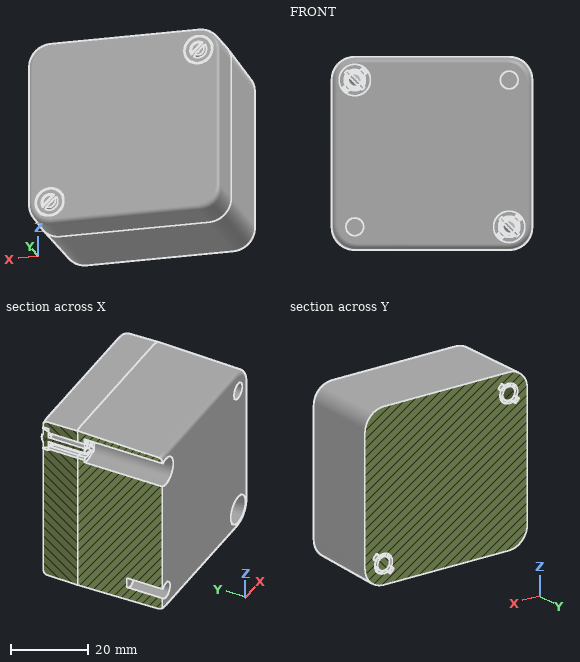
import cadquery as cq
import math

width = 52.0
height = 50.0
overall_depth = 35.5
base_depth = 24.95
lid_depth = 10.05
draft_angle = 0.8
corner_radius = 6.05
rim_radius = 1.25

fixing_x = width / 2 - corner_radius
fixing_z = height / 2 - corner_radius
screw_points = [(-fixing_x, fixing_z), (fixing_x, -fixing_z)]
mounting_points = [(fixing_x, fixing_z), (-fixing_x, -fixing_z)]

mounting_hole_radius = 2.3
mounting_hole_depth = 10.4
base_bore_radius = 4.05
ledge_thickness = 2.1
lid_bore_radius = 3.85
keyhole_radius = 2.75
key_slot_width = 1.55

head_radius = 3.6
head_bottom_radius = 3.15
head_thickness = 1.55
button_height = overall_depth - base_depth - lid_depth
button_bottom_radius = 2.25
button_top_radius = 1.65
drive_slot_width = 0.95
drive_slot_depth = button_height
shank_radius = 2.0
tip_radius = 1.65
blade_width = 0.95
blade_half_length = 3.15
blade_height = tip_radius - blade_width / 2
blade_end_height = 0.6
key_angle = 45.0

ring_radius = 2.4
ring_thickness = 0.8

head_bottom = lid_depth - head_thickness
blade_top = -ledge_thickness
blade_tip = blade_top - blade_height


def plane_at(y):
    """Plane facing +Y with local x along -X and local y along +Z."""
    return cq.Workplane(cq.Plane(origin=(0, y, 0), xDir=(-1, 0, 0), normal=(0, 1, 0)))


def rod(radius, y_start, y_end):
    return plane_at(y_start).circle(radius).extrude(y_end - y_start)


def place(body, point):
    x, z = point
    return body.translate((x, 0, z))


def drafted_block(depth):
    """Block narrowing away from the parting plane, rounded at its corners and outer rim."""
    outward = "<Y" if depth < 0 else ">Y"
    block = cq.Workplane("XZ").rect(width, height).extrude(-depth, taper=draft_angle)
    corners = block.faces("not(<Y or >Y)").edges("not(<Y or >Y)")
    rounded = block.newObject(corners.vals()).fillet(corner_radius)
    return rounded.faces(outward).edges().fillet(rim_radius)


def keyhole(y_start, y_end):
    """Round hole with two opposite key slots that let the screw blade pass."""
    depth = y_end - y_start
    slots = plane_at(y_start).rect(2 * lid_bore_radius, key_slot_width).extrude(depth)
    slots = slots.intersect(rod(lid_bore_radius, y_start, y_end))
    slots = slots.rotate((0, 0, 0), (0, 1, 0), -key_angle)
    return slots.union(rod(keyhole_radius, y_start, y_end))


def make_base():
    base = drafted_block(-base_depth)
    for point in screw_points:
        base = base.cut(place(rod(base_bore_radius, -base_depth, -ledge_thickness), point))
        base = base.cut(place(keyhole(-ledge_thickness, 0), point))
    for point in mounting_points:
        hole = rod(mounting_hole_radius, -base_depth, mounting_hole_depth - base_depth)
        base = base.cut(place(hole, point))
    return base


def make_lid():
    lid = drafted_block(lid_depth)
    for point in screw_points:
        lid = lid.cut(place(keyhole(0, head_bottom), point))
        lid = lid.cut(place(rod(lid_bore_radius, head_bottom, lid_depth), point))
    return lid


def screw_head():
    """Tapered head with a low conical button and a drive slot."""
    top = lid_depth + button_height
    head = (
        cq.Workplane("XY")
        .moveTo(0, head_bottom)
        .lineTo(head_bottom_radius, head_bottom)
        .lineTo(head_radius, lid_depth)
        .lineTo(button_bottom_radius, lid_depth)
        .lineTo(button_top_radius, top)
        .lineTo(0, top)
        .close()
        .revolve(360, (0, 0, 0), (0, 1, 0))
    )
    slot = plane_at(top - drive_slot_depth).rect(2 * button_bottom_radius, drive_slot_width)
    return head.cut(slot.extrude(drive_slot_depth))


def screw_tip():
    """Shank end that sweeps up into the blade in two concave flanks."""
    half_blade = blade_width / 2
    mid = blade_height * (1 - math.sqrt(0.5))
    tip = (
        cq.Workplane("ZY")
        .moveTo(-tip_radius, blade_top)
        .threePointArc((-half_blade - mid, blade_top - mid), (-half_blade, blade_tip))
        .lineTo(half_blade, blade_tip)
        .threePointArc((half_blade + mid, blade_top - mid), (tip_radius, blade_top))
        .close()
        .extrude(tip_radius, both=True)
    )
    return tip.intersect(rod(tip_radius, blade_tip, blade_top))


def screw_blade():
    """Arched cross blade that bears on the ledge of the base."""
    blade_end = blade_top - blade_end_height
    return (
        cq.Workplane("XY")
        .moveTo(-blade_half_length, blade_top)
        .lineTo(-blade_half_length, blade_end)
        .threePointArc((0, blade_tip), (blade_half_length, blade_end))
        .lineTo(blade_half_length, blade_top)
        .close()
        .extrude(blade_width / 2, both=True)
    )


def make_screw():
    shank = rod(shank_radius, blade_top, head_bottom)
    screw = shank.union(screw_head()).union(screw_tip()).union(screw_blade())
    return screw.rotate((0, 0, 0), (0, 1, 0), key_angle)


def make_ring():
    ring = rod(ring_radius, head_bottom - ring_thickness, head_bottom)
    return ring.cut(rod(shank_radius, head_bottom - ring_thickness, head_bottom))


base = make_base()
lid = make_lid()
screws = [place(make_screw(), point) for point in screw_points]
rings = [place(make_ring(), point) for point in screw_points]

result = cq.Compound.makeCompound([body.val() for body in [base, lid, *screws, *rings]])